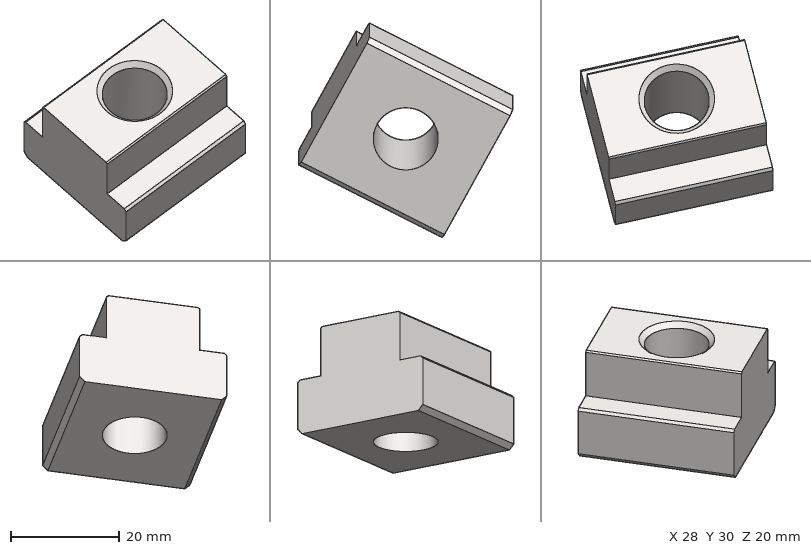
import cadquery as cq

base_width = 28.0
length = 30.0
total_height = 20.0

neck_width = 17.7
base_height = 10.5
bottom_chamfer = 1.0
shoulder_chamfer = 0.5
neck_chamfer = 0.3

hole_diameter = 12.0
countersink_diameter = 14.0
countersink_angle = 90.0


def make_body():
    """Extrude the chamfered T profile along Y, centred on the Z axis, with its bottom at Z = 0."""
    half_base = base_width / 2
    half_neck = neck_width / 2
    right_side = [
        (half_base - bottom_chamfer, 0),
        (half_base, bottom_chamfer),
        (half_base, base_height - shoulder_chamfer),
        (half_base - shoulder_chamfer, base_height),
        (half_neck, base_height),
        (half_neck, total_height - neck_chamfer),
        (half_neck - neck_chamfer, total_height),
    ]
    left_side = [(-x, z) for x, z in reversed(right_side)]
    profile = cq.Workplane("XZ").polyline(right_side + left_side).close()
    return profile.extrude(length / 2, both=True)


def cut_hole(body):
    """Drill the countersunk hole down through the centre of the neck."""
    top_face = body.faces(">Z").workplane(origin=(0, 0, total_height))
    return top_face.cskHole(hole_diameter, countersink_diameter, countersink_angle)


result = cut_hole(make_body())